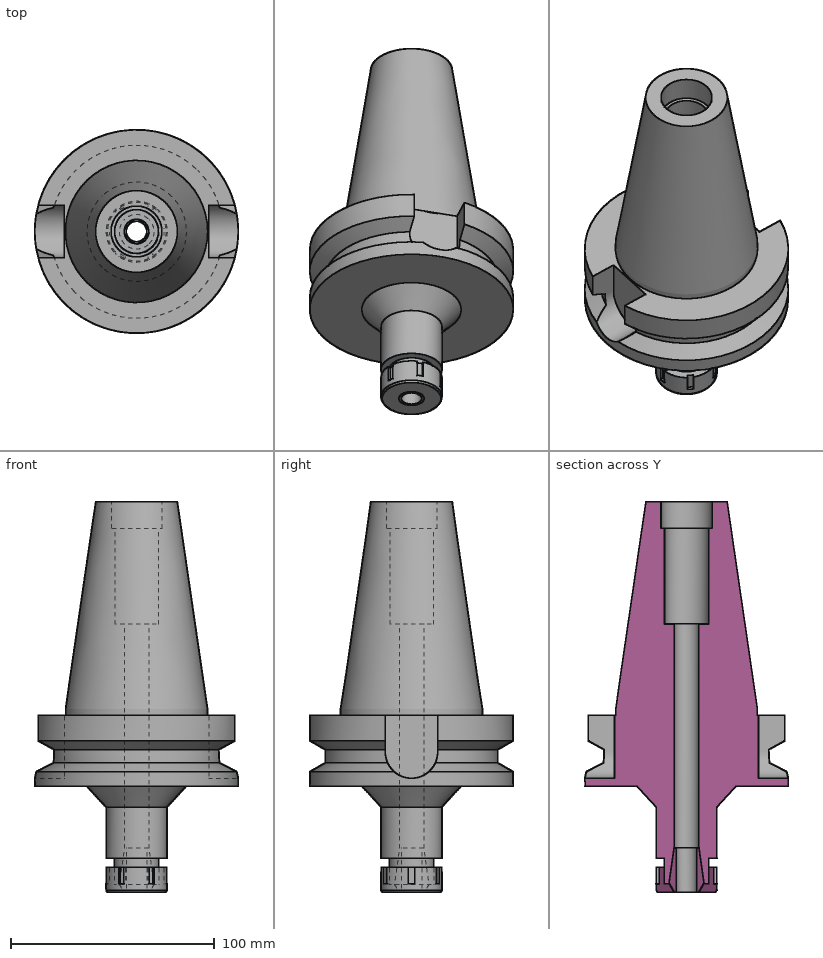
import cadquery as cq
import math


gauge_diameter = 69.85
taper_length = 101.8
taper_per_length = 7 / 24
shank_end_diameter = gauge_diameter - taper_length * taper_per_length

flange_diameter = 100.0
flange_gap = 3.0
flange_thickness = 35.0
flange_top = -flange_gap
flange_bottom = flange_top - flange_thickness
groove_floor_diameter = 85.0
upper_rim_thickness = 12.65
groove_top = flange_top - upper_rim_thickness
groove_width = 15.1
groove_bottom = groove_top - groove_width
groove_side_angle = 30.0
groove_depth = (flange_diameter - groove_floor_diameter) / 2
groove_side_height = groove_depth * math.tan(math.radians(groove_side_angle))

drive_slot_width = 25.7
drive_slot_floor_x = 35.4
drive_slot_depth = 31.0
drive_slot_end_radius = drive_slot_width / 2
drive_slot_end_center_z = flange_top - drive_slot_depth + drive_slot_end_radius

holder_bottom = -86.0
nose_bottom = -73.3
nose_diameter = 30.0
nose_cone_height = 10.2
nose_cone_top_diameter = 48.8
thread_diameter = 22.0

pilot_diameter = 25.0
pilot_depth = 13.0
draw_bore_diameter = 21.5
draw_bore_depth = 60.0
passage_diameter = 12.0

collet_bore_diameter = 10.0
collet_diameter = 17.0
collet_taper_angle = 8.0
collet_nose_angle = 30.0
collet_taper_length = (collet_diameter - passage_diameter) / 2 / math.tan(math.radians(collet_taper_angle))
collet_top = holder_bottom + collet_taper_length

nut_top = -77.7
nut_bottom = -90.0
nut_diameter = nose_diameter
nut_chamfer_height = 1.0
nut_chamfer_width = 0.6
nut_slot_count = 6
nut_slot_width = 3.0
nut_slot_length = 8.2
nut_slot_depth = 1.5
collet_nose_height = holder_bottom - nut_bottom
collet_nose_radius = collet_diameter / 2 - collet_nose_height * math.tan(math.radians(collet_nose_angle))


def revolved(profile):
    """Solid of revolution about Z from (radius, z) points."""
    return cq.Workplane("XZ").polyline(profile).close().revolve(360, (0, 0), (0, 1))


def bore(diameter, bottom, top):
    return cq.Workplane("XY").workplane(offset=bottom).circle(diameter / 2).extrude(top - bottom)


def make_drive_slot():
    """Slot cutter for the +X side: straight walls with a rounded lower end."""
    cutter_length = flange_diameter / 2 - drive_slot_floor_x
    return (
        cq.Workplane("YZ")
        .workplane(offset=drive_slot_floor_x)
        .moveTo(-drive_slot_end_radius, flange_top)
        .lineTo(-drive_slot_end_radius, drive_slot_end_center_z)
        .threePointArc(
            (0, flange_top - drive_slot_depth),
            (drive_slot_end_radius, drive_slot_end_center_z),
        )
        .lineTo(drive_slot_end_radius, flange_top)
        .close()
        .extrude(cutter_length)
    )


def make_collet_envelope():
    """Outer shape of the collet, also used to cut its seat in the holder."""
    return revolved([
        (0, nut_bottom),
        (collet_nose_radius, nut_bottom),
        (collet_diameter / 2, holder_bottom),
        (passage_diameter / 2, collet_top),
        (0, collet_top),
    ])


def make_holder():
    body = revolved([
        (0, taper_length),
        (shank_end_diameter / 2, taper_length),
        (gauge_diameter / 2, 0),
        (gauge_diameter / 2, flange_top),
        (flange_diameter / 2, flange_top),
        (flange_diameter / 2, groove_top),
        (groove_floor_diameter / 2, groove_top - groove_side_height),
        (groove_floor_diameter / 2, groove_bottom + groove_side_height),
        (flange_diameter / 2, groove_bottom),
        (flange_diameter / 2, flange_bottom),
        (nose_cone_top_diameter / 2, flange_bottom),
        (nose_diameter / 2, flange_bottom - nose_cone_height),
        (nose_diameter / 2, nose_bottom),
        (thread_diameter / 2, nose_bottom),
        (thread_diameter / 2, holder_bottom),
        (0, holder_bottom),
    ])
    slot = make_drive_slot()
    for side_angle in (0, 180):
        body = body.cut(slot.rotate((0, 0, 0), (0, 0, 1), side_angle))
    body = body.cut(bore(pilot_diameter, taper_length - pilot_depth, taper_length))
    body = body.cut(bore(draw_bore_diameter, taper_length - draw_bore_depth, taper_length))
    body = body.cut(bore(passage_diameter, collet_top, taper_length))
    return body.cut(make_collet_envelope())


def make_collet():
    return make_collet_envelope().cut(bore(collet_bore_diameter, nut_bottom, collet_top))


def make_nut():
    body = revolved([
        (thread_diameter / 2, nut_top),
        (nut_diameter / 2, nut_top),
        (nut_diameter / 2, nut_bottom + nut_chamfer_height),
        (nut_diameter / 2 - nut_chamfer_width, nut_bottom),
        (collet_nose_radius, nut_bottom),
        (collet_diameter / 2, holder_bottom),
        (thread_diameter / 2, holder_bottom),
    ])
    slot = (
        cq.Workplane("XY")
        .workplane(offset=nut_top - nut_slot_length)
        .center(nut_diameter / 2, 0)
        .rect(2 * nut_slot_depth, nut_slot_width)
        .extrude(nut_slot_length)
    )
    for index in range(nut_slot_count):
        body = body.cut(slot.rotate((0, 0, 0), (0, 0, 1), index * 360 / nut_slot_count))
    return body


holder = make_holder()
collet = make_collet()
nut = make_nut()

result = cq.Compound.makeCompound([holder.val(), collet.val(), nut.val()])